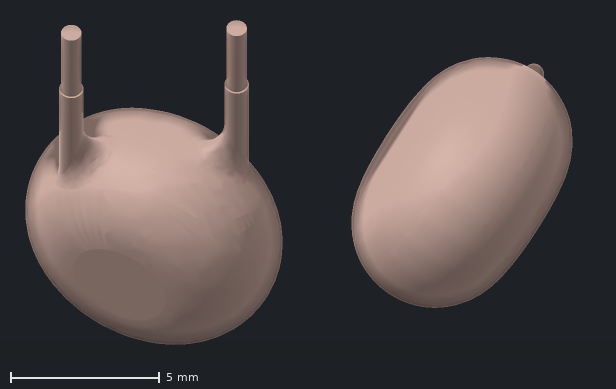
import cadquery as cq

total_height = 15.0
body_diameter = 9.0
body_thickness = 5.6

lead_spacing_x = 5.0
lead_spacing_y = 2.5
wire_diameter = 0.69
sleeve_diameter = 0.82
sleeve_top = 12.0
root_fillet = 1.0

body_radius = body_diameter / 2
half_thickness = body_thickness / 2
flat_radius = body_radius - half_thickness


def make_body():
    """Disc with a half-round rim, revolved about its Y axis."""
    profile = (
        cq.Workplane("XY")
        .moveTo(0, -half_thickness)
        .lineTo(flat_radius, -half_thickness)
        .threePointArc((body_radius, 0), (flat_radius, half_thickness))
        .lineTo(0, half_thickness)
        .close()
    )
    return profile.revolve(360, (0, 0), (0, 1)).translate((0, 0, body_radius))


def vertical_rod(x, y, diameter, bottom, top):
    """Round rod parallel to Z."""
    return (
        cq.Workplane("XY", origin=(x, y, bottom))
        .circle(diameter / 2)
        .extrude(top - bottom)
    )


lead_places = [(side * lead_spacing_x / 2, side * lead_spacing_y / 2) for side in (-1, 1)]

result = make_body()
for x, y in lead_places:
    result = result.union(vertical_rod(x, y, sleeve_diameter, body_radius, sleeve_top))

for x, y in lead_places:
    reach = sleeve_diameter
    root_zone = cq.selectors.BoxSelector(
        (x - reach, y - reach, body_radius),
        (x + reach, y + reach, body_diameter + reach),
        boundingbox=True,
    )
    result = result.edges(root_zone).edges("not %LINE").fillet(root_fillet)

for x, y in lead_places:
    result = result.union(vertical_rod(x, y, wire_diameter, sleeve_top, total_height))